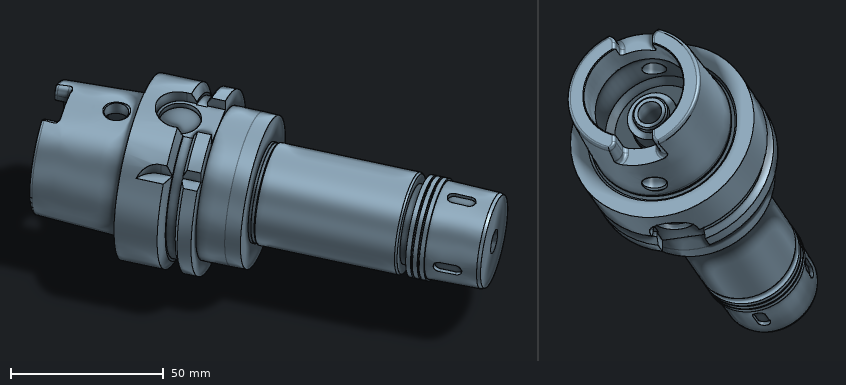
import cadquery as cq
import math

LENGTH = 152.0

SHANK_TIP_R = 22.6
SHANK_END_R = 24.0
SHANK_NECK_R = 23.5
SHANK_TAPER_END = 29.8
SHANK_LAND_END = 30.9
TIP_ROUNDING = 1.0

FLANGE_FACE_X = 31.6
FLANGE_END_X = 57.9
FLANGE_R = 31.5
RECESS_R = 25.5
RECESS_DEPTH = 0.8
GROOVE_R = 27.4
GROOVE_START = 48.2
GROOVE_END = 51.8
GROOVE_FLANK_START = 46.4
GROOVE_FLANK_END = 53.2
GROOVE_FLANK_ANGLE = 60
GROOVE_FLANK_SLOPE = math.tan(math.radians(GROOVE_FLANK_ANGLE))

COLLAR_R = 26.0
COLLAR_SMALL_R = 25.8
COLLAR_TAPER_X = 67.8
COLLAR_END_X = 73.1
NOSE_R = 34.5 / 2
NOSE_STEP_R = 34.0 / 2
NOSE_RELIEF_R = 33.6 / 2
NOSE_STEP_END = 74.0
NOSE_RELIEF_END = 75.1
NOSE_END_X = 123.9
NOSE_CHAMFER = 0.5
NOSE_END_CHAMFER_LENGTH = 0.8
NECK_R = 27.0 / 2

NUT_START = 126.9
NUT_RING_R = NOSE_R
NUT_GROOVE_R = 16.4
NUT_RING_WIDTH = 1.7
NUT_GROOVE_WIDTH = 0.6
NUT_RING_COUNT = 3
NUT_BACK_R = 16.5
NUT_FRONT_R = 16.1
NUT_CHAMFER = 0.5
NUT_CHAMFER_LENGTH = 1.2
NUT_SLOT_COUNT = 4
NUT_SLOT_X = 140.9
NUT_SLOT_LENGTH = 9.5
NUT_SLOT_WIDTH = 4.3
NUT_SLOT_FLOOR_R = 14.9

BORE_R = 34.0 / 2
BORE_MOUTH_CHAMFER = 0.3
BORE_FLOOR_R = 15.8
UNDERCUT_R = 18.7
UNDERCUT_X = 12.6
UNDERCUT_FLANK_LENGTH = 2.1
BORE_FLOOR_X = 30.4
FLOOR_CONE_LENGTH = 1.2
TUBE_NUT_R = 17.0 / 2
TUBE_NUT_BASE_R = 18.0 / 2
TUBE_NUT_BASE_X = 28.3
TUBE_NUT_FACE_X = 20.7
TUBE_R = 12.0 / 2
TUBE_TIP_X = 18.0
TUBE_CHAMFER = 0.6
THROUGH_HOLE_D = 8.0

NOTCH_HALF_WIDTH = 6.2
NOTCH_FLARE_R = 3.0
NOTCH_FLARE_TOP = 21.1
NOTCH_INNER_Z = 12.2
NOTCH_FLOOR_FILLET = 1.5
TOP_NOTCH_DEPTH = 6.1
BOTTOM_NOTCH_DEPTH = 9.7

ACCESS_HOLE_X = 23.1
ACCESS_HOLE_D = 8.0
ACCESS_SINK_D = 9.3

KEYWAY_WIDTH = 16.1
KEYWAY_FLOOR_R = 26.3
KEYWAY_CENTRE_X = 44.8
POCKET_D = 14.0
POCKET_DEPTH = 2.0
CORNER_DISTANCE_Y = 20.0
CORNER_DISTANCE_Z = 19.9
CORNER_CENTRE_X = 44.2

CLEARANCE = 7.6


def turned(points):
    """Solid turned about the X axis from (x, radius) points that end on the axis."""
    return cq.Workplane("XY").polyline(points).close().revolve(360, (0, 0, 0), (1, 0, 0))


def box_between(x_range, y_range, z_range):
    """Box spanning the given coordinate ranges."""
    spans = [high - low for low, high in (x_range, y_range, z_range)]
    corner = (x_range[0], y_range[0], z_range[0])
    return cq.Workplane("XY").box(*spans, centered=False).translate(corner)


def drive_notch(depth):
    """Cutter for a flared notch on the +Z side, rounded along its floor."""
    outer_z = SHANK_END_R + CLEARANCE
    wide = NOTCH_HALF_WIDTH + NOTCH_FLARE_R
    flare_start = NOTCH_FLARE_TOP - NOTCH_FLARE_R
    outer_y = wide + CLEARANCE
    half_diagonal = NOTCH_FLARE_R * math.sqrt(0.5)
    mid_y = wide - half_diagonal
    mid_z = flare_start + half_diagonal
    notch = (
        cq.Workplane("YZ", origin=(-CLEARANCE, 0, 0))
        .moveTo(-NOTCH_HALF_WIDTH, NOTCH_INNER_Z)
        .lineTo(NOTCH_HALF_WIDTH, NOTCH_INNER_Z)
        .lineTo(NOTCH_HALF_WIDTH, flare_start)
        .threePointArc((mid_y, mid_z), (wide, NOTCH_FLARE_TOP))
        .lineTo(outer_y, NOTCH_FLARE_TOP)
        .lineTo(outer_y, outer_z)
        .lineTo(-outer_y, outer_z)
        .lineTo(-outer_y, NOTCH_FLARE_TOP)
        .lineTo(-wide, NOTCH_FLARE_TOP)
        .threePointArc((-mid_y, mid_z), (-NOTCH_HALF_WIDTH, flare_start))
        .close()
        .extrude(CLEARANCE + depth)
        .faces(">X")
        .edges()
        .fillet(NOTCH_FLOOR_FILLET)
    )
    slab_y = outer_y + CLEARANCE
    slab = box_between((-CLEARANCE, 0), (-slab_y, slab_y), (0, outer_z + CLEARANCE))
    mouth_edges = cq.selectors.BoxSelector(
        (-TIP_ROUNDING, -outer_y - TIP_ROUNDING, NOTCH_INNER_Z - TIP_ROUNDING),
        (TIP_ROUNDING, outer_y + TIP_ROUNDING, outer_z + TIP_ROUNDING),
    )
    return slab.union(notch).edges(mouth_edges).fillet(TIP_ROUNDING)


def make_shank():
    """Notched taper shank with a rounded tip, still without its bore."""
    shank = turned([
        (0, 0),
        (0, SHANK_TIP_R),
        (SHANK_TAPER_END, SHANK_END_R),
        (SHANK_LAND_END, SHANK_END_R),
        (FLANGE_FACE_X, SHANK_NECK_R),
        (FLANGE_FACE_X + RECESS_DEPTH, SHANK_NECK_R),
        (FLANGE_FACE_X + RECESS_DEPTH, 0),
    ])
    shank = shank.faces("<X").edges().fillet(TIP_ROUNDING)
    shank = shank.cut(drive_notch(TOP_NOTCH_DEPTH))
    bottom_notch = drive_notch(BOTTOM_NOTCH_DEPTH).rotate((0, 0, 0), (1, 0, 0), 180)
    return shank.cut(bottom_notch)


def make_body():
    """Flange, collar, nose and clamping nut as one turned outline."""
    back_flank_r = FLANGE_R - (GROOVE_START - GROOVE_FLANK_START) * GROOVE_FLANK_SLOPE
    front_flank_r = FLANGE_R - (GROOVE_FLANK_END - GROOVE_END) * GROOVE_FLANK_SLOPE
    recess_floor_x = FLANGE_FACE_X + RECESS_DEPTH
    outline = [
        (recess_floor_x, 0),
        (recess_floor_x, RECESS_R - RECESS_DEPTH),
        (FLANGE_FACE_X, RECESS_R),
        (FLANGE_FACE_X, FLANGE_R),
        (GROOVE_FLANK_START, FLANGE_R),
        (GROOVE_START, back_flank_r),
        (GROOVE_START, GROOVE_R),
        (GROOVE_END, GROOVE_R),
        (GROOVE_END, front_flank_r),
        (GROOVE_FLANK_END, FLANGE_R),
        (FLANGE_END_X, FLANGE_R),
        (FLANGE_END_X, COLLAR_R),
        (COLLAR_TAPER_X, COLLAR_R),
        (COLLAR_END_X, COLLAR_SMALL_R),
        (COLLAR_END_X, NOSE_STEP_R),
        (NOSE_STEP_END, NOSE_STEP_R),
        (NOSE_STEP_END, NOSE_RELIEF_R),
        (NOSE_RELIEF_END, NOSE_RELIEF_R),
        (NOSE_RELIEF_END + NOSE_CHAMFER, NOSE_R),
        (NOSE_END_X - NOSE_END_CHAMFER_LENGTH, NOSE_R),
        (NOSE_END_X, NOSE_R - NOSE_CHAMFER),
        (NOSE_END_X, NECK_R),
        (NUT_START, NECK_R),
    ]
    ring_pitch = NUT_RING_WIDTH + NUT_GROOVE_WIDTH
    for ring in range(NUT_RING_COUNT):
        ring_start = NUT_START + ring * ring_pitch
        ring_end = ring_start + NUT_RING_WIDTH
        if ring > 0:
            outline.append((ring_start, NUT_GROOVE_R))
        outline.append((ring_start, NUT_RING_R))
        outline.append((ring_end, NUT_RING_R))
        if ring < NUT_RING_COUNT - 1:
            outline.append((ring_end, NUT_GROOVE_R))
    outline += [
        (ring_end, NUT_BACK_R),
        (LENGTH - NUT_CHAMFER_LENGTH, NUT_FRONT_R),
        (LENGTH, NUT_FRONT_R - NUT_CHAMFER),
        (LENGTH, 0),
    ]
    return turned(outline)


def shank_bore():
    """Undercut bore of the shank, leaving the coolant tube and its nut standing on the floor."""
    return turned([
        (-CLEARANCE, 0),
        (-CLEARANCE, BORE_R + BORE_MOUTH_CHAMFER),
        (0, BORE_R + BORE_MOUTH_CHAMFER),
        (BORE_MOUTH_CHAMFER, BORE_R),
        (UNDERCUT_X, BORE_R),
        (UNDERCUT_X + UNDERCUT_FLANK_LENGTH, UNDERCUT_R),
        (BORE_FLOOR_X - FLOOR_CONE_LENGTH, UNDERCUT_R),
        (BORE_FLOOR_X, BORE_FLOOR_R),
        (BORE_FLOOR_X, TUBE_NUT_BASE_R),
        (TUBE_NUT_BASE_X, TUBE_NUT_BASE_R),
        (TUBE_NUT_BASE_X - (TUBE_NUT_BASE_R - TUBE_NUT_R), TUBE_NUT_R),
        (TUBE_NUT_FACE_X, TUBE_NUT_R),
        (TUBE_NUT_FACE_X, TUBE_R),
        (TUBE_TIP_X + TUBE_CHAMFER, TUBE_R),
        (TUBE_TIP_X, TUBE_R - TUBE_CHAMFER),
        (TUBE_TIP_X, 0),
    ])


def access_hole():
    """Countersunk radial hole through the +Z wall of the shank."""
    hole_r = ACCESS_HOLE_D / 2
    sink_r = ACCESS_SINK_D / 2
    surface_z = SHANK_TIP_R + (SHANK_END_R - SHANK_TIP_R) * ACCESS_HOLE_X / SHANK_TAPER_END
    sink_z = surface_z - (sink_r - hole_r)
    inner_z = (TUBE_NUT_BASE_R + BORE_FLOOR_R) / 2
    return (
        cq.Workplane("XZ")
        .polyline([
            (0, inner_z),
            (hole_r, inner_z),
            (hole_r, sink_z),
            (sink_r, surface_z),
            (sink_r, surface_z + CLEARANCE),
            (0, surface_z + CLEARANCE),
        ])
        .close()
        .revolve(360, (0, 0, 0), (0, 1, 0))
        .translate((ACCESS_HOLE_X, 0, 0))
    )


def keyway():
    """Round-ended keyway on the +Z side of the flange with a round pocket in its floor."""
    half_width = KEYWAY_WIDTH / 2
    floor = cq.Workplane("XY", origin=(KEYWAY_CENTRE_X, 0, KEYWAY_FLOOR_R))
    height = FLANGE_R - KEYWAY_FLOOR_R + CLEARANCE
    slot = box_between(
        (KEYWAY_CENTRE_X, FLANGE_END_X),
        (-half_width, half_width),
        (KEYWAY_FLOOR_R, KEYWAY_FLOOR_R + height),
    )
    pocket = floor.circle(POCKET_D / 2).extrude(-POCKET_DEPTH)
    return slot.union(floor.circle(half_width).extrude(height)).union(pocket)


def corner_notch():
    """Notch on the -Y, +Z corner of the flange, ended by the same cutter as the keyways."""
    cutter_r = KEYWAY_WIDTH / 2
    outer = FLANGE_R + CLEARANCE
    block = box_between(
        (CORNER_CENTRE_X, FLANGE_END_X),
        (-outer, -CORNER_DISTANCE_Y),
        (CORNER_DISTANCE_Z, outer),
    )
    centre = (CORNER_CENTRE_X, -CORNER_DISTANCE_Y - cutter_r, CORNER_DISTANCE_Z)
    round_end = cq.Workplane("XY", origin=centre).circle(cutter_r).extrude(outer - CORNER_DISTANCE_Z)
    return block.union(round_end)


def nut_slot(angle):
    """Flat-bottomed wrench slot in the nut, turned about X to the given angle."""
    return (
        cq.Workplane("XY", origin=(NUT_SLOT_X, 0, NUT_SLOT_FLOOR_R))
        .slot2D(NUT_SLOT_LENGTH, NUT_SLOT_WIDTH)
        .extrude(CLEARANCE)
        .rotate((0, 0, 0), (1, 0, 0), angle)
    )


holder = make_body().union(make_shank())
holder = holder.cut(shank_bore())
for side_angle in (0, 180):
    holder = holder.cut(access_hole().rotate((0, 0, 0), (1, 0, 0), side_angle))
    holder = holder.cut(keyway().rotate((0, 0, 0), (1, 0, 0), side_angle))
holder = holder.cut(corner_notch())
for slot_index in range(NUT_SLOT_COUNT):
    holder = holder.cut(nut_slot(slot_index * 360 / NUT_SLOT_COUNT))

through_hole = cq.Workplane("YZ").circle(THROUGH_HOLE_D / 2).extrude(LENGTH)
result = holder.cut(through_hole)